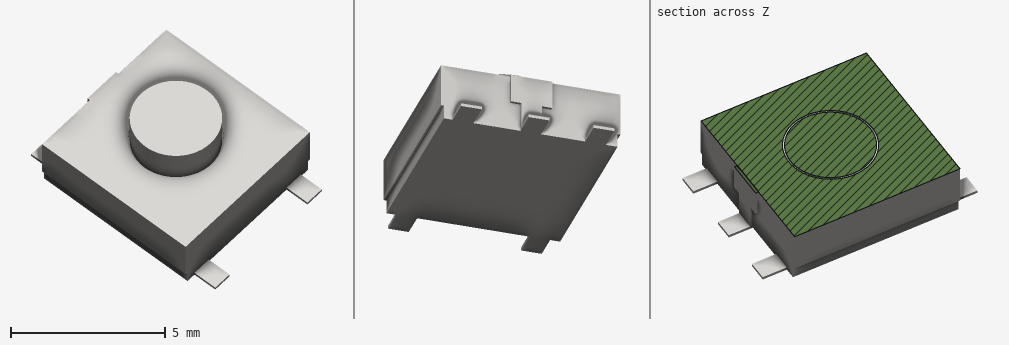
import cadquery as cq

overall_length = 8.0
overall_height = 3.1

housing_length = 6.2
housing_width = 6.1
housing_height = 2.0
base_inset = 0.1
base_height = 0.48

button_diameter = 3.0
groove_diameter = 3.1
groove_depth = 0.1

sheet_thickness = 0.1
lead_width = 0.7
left_lead_spacing = 4.5
left_lead_shift = 0.05
right_lead_spacing = 4.52

tee_width = 1.4
tee_shoulder_height = 1.0

wall_x = housing_length / 2
lead_reach = overall_length / 2 - wall_x
groove_floor = housing_height - groove_depth


def box_on(floor, x_min, x_size, y_center, y_size, z_size):
    """Box rising from height floor, starting at x_min and centred on y_center in Y."""
    corner = (x_min, y_center - y_size / 2, floor)
    return cq.Workplane("XY").box(x_size, y_size, z_size, centered=False).translate(corner)


def make_button():
    button_height = overall_height - groove_floor
    return cq.Workplane("XY", origin=(0, 0, groove_floor)).circle(button_diameter / 2).extrude(button_height)


def make_housing():
    """Stepped housing with its integral button rising out of a ring groove."""
    base_width = housing_width - 2 * base_inset
    base = box_on(0, -wall_x, housing_length, 0, base_width, base_height)
    block = box_on(base_height, -wall_x, housing_length, 0, housing_width, housing_height - base_height)
    groove = cq.Workplane("XY", origin=(0, 0, groove_floor)).circle(groove_diameter / 2).extrude(groove_depth)
    return base.union(block).cut(groove).union(make_button())


def make_lead(side, y_center):
    """Flat foot outside the housing; side is -1 for the -X wall and +1 for the +X wall."""
    x_min = wall_x if side > 0 else -overall_length / 2
    return box_on(0, x_min, lead_reach, y_center, lead_width, sheet_thickness)


def make_ground_lead():
    plate_x = -wall_x - sheet_thickness
    stem = box_on(0, plate_x, sheet_thickness, 0, lead_width, tee_shoulder_height)
    head_height = housing_height - tee_shoulder_height
    head = box_on(tee_shoulder_height, plate_x, sheet_thickness, 0, tee_width, head_height)
    return make_lead(-1, 0).union(stem).union(head)


housing = make_housing()
ground_lead = make_ground_lead()

leads = []
for end in (-1, 1):
    leads.append(make_lead(-1, end * left_lead_spacing / 2 + left_lead_shift))
    leads.append(make_lead(1, end * right_lead_spacing / 2))

result = cq.Compound.makeCompound(
    [housing.val(), ground_lead.val()] + [lead.val() for lead in leads]
)